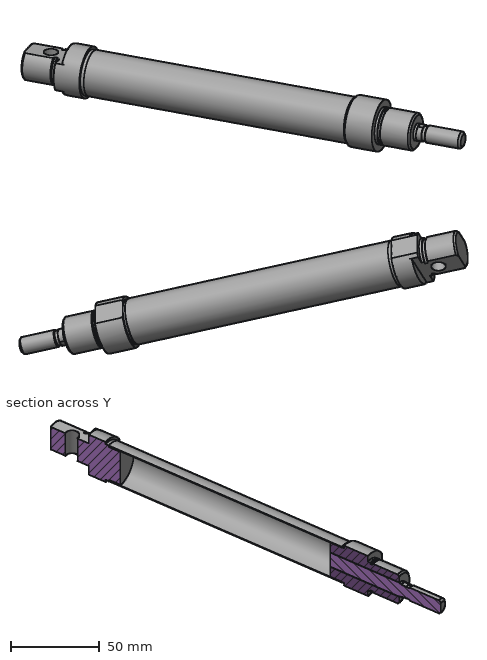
import cadquery as cq


total_length = 265.0
cap_radius = 30.0 / 2
cap_width = 28.5
cap_side_flat_y = cap_width - cap_radius
cap_chamfer_length = 1.0
cap_chamfer_depth = 0.3
thread_radius = 10.9
thread_chamfer = 1.0
thread_root_chamfer = 0.5
undercut_radius = 20.0 / 2

tube_radius = 26.8 / 2
tube_bore_radius = 12.5
tube_start = 39.5
tube_end = 197.7
spigot_length = 8.0

eye_thickness = 17.0
eye_hole_diameter = 8.2
eye_hole_x = 14.0
rear_thread_end = 18.5
rear_undercut_end = 20.1
rear_cap_start = 21.7
eye_flat_end = 25.7
rear_cap_end = 37.4

front_shoulder_radius = 26.2 / 2
front_cap_start = 199.0
front_cap_end = 215.5
front_collar_end = 217.0
front_thread_start = 218.4
front_thread_end = 236.6

rod_radius = 5.0
wrench_radius = 9.8 / 2
wrench_flat_offset = 4.5
wrench_start = 238.2
wrench_end = 241.5
rod_groove_radius = 8.7 / 2
rod_groove_end = 243.3
rod_root_chamfer = 0.5
rod_tip_chamfer = 1.3

clearance = cap_radius


def revolve_profile(start, points):
    """Solid turned about X from (x, radius) points; the profile begins on the axis at x = start."""
    end = points[-1][0]
    return (
        cq.Workplane("XY")
        .polyline([(start, 0), *points, (end, 0)])
        .close()
        .revolve(360, (0, 0, 0), (1, 0, 0))
    )


def cut_above_and_below(body, start, end, offset):
    """Mill flats facing +Z and -Z, at the given offset from the axis, between two x positions."""
    depth = cap_radius + clearance
    for side in (1, -1):
        block = cq.Workplane("XY").box(end - start, 2 * depth, depth)
        body = body.cut(block.translate(((start + end) / 2, 0, side * (offset + depth / 2))))
    return body


def cut_side_flat(cap):
    """Mill the flat on the +Y side of a cap."""
    block = cq.Workplane("XY").box(total_length, clearance, 2 * (cap_radius + clearance))
    return cap.cut(block.translate((total_length / 2, cap_side_flat_y + clearance / 2, 0)))


def make_rear_cap():
    """A flat-sided eye that runs on into the round collar around the tube end."""
    eye = revolve_profile(0, [
        (0, thread_radius - thread_chamfer),
        (thread_chamfer, thread_radius),
        (rear_thread_end - thread_root_chamfer, thread_radius),
        (rear_thread_end, undercut_radius),
        (rear_undercut_end, undercut_radius),
        (rear_undercut_end, thread_radius),
        (rear_cap_start, thread_radius),
        (rear_cap_start, cap_radius),
        (rear_cap_end, cap_radius),
    ])
    eye = cut_above_and_below(eye, 0, rear_cap_end, eye_thickness / 2)
    collar = revolve_profile(eye_flat_end, [
        (eye_flat_end, cap_radius - cap_chamfer_depth),
        (eye_flat_end + cap_chamfer_length, cap_radius),
        (rear_cap_end, cap_radius),
        (rear_cap_end, tube_radius),
        (tube_start, tube_radius),
        (tube_start, tube_bore_radius),
        (tube_start + spigot_length, tube_bore_radius),
    ])
    eye_hole = (
        cq.Workplane("XY")
        .center(eye_hole_x, 0)
        .circle(eye_hole_diameter / 2)
        .extrude(eye_thickness, both=True)
    )
    return cut_side_flat(eye.union(collar).cut(eye_hole))


def make_tube():
    """Plain barrel between the two caps."""
    return (
        cq.Workplane("YZ", origin=(tube_start, 0, 0))
        .circle(tube_radius)
        .circle(tube_bore_radius)
        .extrude(tube_end - tube_start)
    )


def make_front_cap():
    """Collar and threaded nose, bored through for the piston rod."""
    spigot_start = tube_end - spigot_length
    cap = revolve_profile(spigot_start, [
        (spigot_start, tube_bore_radius),
        (tube_end, tube_bore_radius),
        (tube_end, front_shoulder_radius),
        (front_cap_start, front_shoulder_radius),
        (front_cap_start, cap_radius - cap_chamfer_depth),
        (front_cap_start + cap_chamfer_length, cap_radius),
        (front_cap_end, cap_radius),
        (front_cap_end, thread_radius),
        (front_collar_end, thread_radius),
        (front_collar_end, undercut_radius),
        (front_thread_start, undercut_radius),
        (front_thread_start + thread_root_chamfer, thread_radius),
        (front_thread_end - thread_chamfer, thread_radius),
        (front_thread_end, thread_radius - thread_chamfer),
    ])
    rod_bore = cq.Workplane("YZ").circle(rod_radius).extrude(total_length)
    return cut_side_flat(cap.cut(rod_bore))


def make_piston_rod():
    """Rod with two wrench flats, a groove and a threaded tip."""
    rod_start = tube_end - spigot_length
    rod = revolve_profile(rod_start, [
        (rod_start, rod_radius),
        (wrench_start, rod_radius),
        (wrench_start, wrench_radius),
        (wrench_end, wrench_radius),
        (wrench_end, rod_groove_radius),
        (rod_groove_end, rod_groove_radius),
        (rod_groove_end + rod_root_chamfer, rod_radius),
        (total_length - rod_tip_chamfer, rod_radius),
        (total_length, rod_radius - rod_tip_chamfer),
    ])
    return cut_above_and_below(rod, wrench_start, wrench_end, wrench_flat_offset)


rear_cap = make_rear_cap()
tube = make_tube()
front_cap = make_front_cap()
piston_rod = make_piston_rod()

result = cq.Compound.makeCompound([
    rear_cap.solids().val(),
    tube.solids().val(),
    front_cap.solids().val(),
    piston_rod.solids().val(),
])